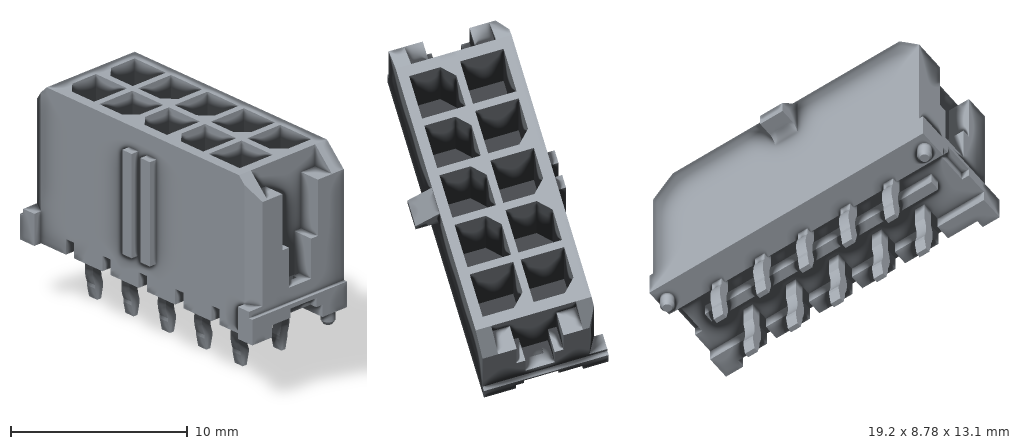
import cadquery as cq


half_length = 9.3
front_y = -3.45
back_y = 3.39
height = 9.92
ledge_z = 2.01
top_chamfer = 1.38
corner_chamfer_x = 0.92
corner_chamfer_y = 0.54
shoulder_z = height - top_chamfer

half_flange_length = 9.58
flange_height = 1.6
foot_projection = 0.52
foot_y = front_y - foot_projection
foot_inner_x = half_length - corner_chamfer_x

slot_inner_x = half_length - top_chamfer
shoulder_width = 0.92
upper_slot_width = 2.75
upper_slot_z = 5.02
lower_slot_width = 1.72
lower_slot_z = 2.5
relief_depth = 0.21
relief_length = 0.38
relief_tab_length = 0.3
relief_tab_width = 0.8

pitch = 3.0
columns = 5
cavity_size = 2.57
cavity_chamfer = 0.73
cavity_floor_z = ledge_z
back_row_keys = (-1, 1, 1, 1, 1)
front_row_keys = (-1, 1, -1, -1, 0)

recess_front_y = -2.45
recess_back_y = 1.5
recess_height = 0.77
center_strip_width = 0.65
notch_height = 0.98
end_pocket_width = 2.03
end_pocket_depth = 0.48
end_pocket_z = 1.35

pin_width = 0.67
pin_thickness = 0.63
pin_tip_thickness = 0.3
pin_root_z = 1.35
bend_start_z = -0.54
bend_end_z = -2.2
taper_z = -2.43
pin_tip_z = -3.18
bend_offset = 0.163

peg_x = 9.0
peg_y = 2.45
peg_radius = 0.42
peg_length = 0.88
peg_chamfer_height = 0.23
peg_chamfer_width = 0.15

rib_width = 0.77
rib_x = 0.75
hook_width = 1.57
hook_projection = 1.42
hook_bottom_z = 7.45
hook_nose_z = 8.22
hook_root_radius = 0.5


def box(x0, x1, y0, y1, z0, z1):
    """Box between opposite corners."""
    return cq.Workplane("XY").box(x1 - x0, y1 - y0, z1 - z0, centered=False).translate((x0, y0, z0))


def both_ends(shape):
    """Shape together with its mirror image at the other end of the housing."""
    return shape.union(shape.mirror("YZ"))


def centered_on_row_middle(x0, x1, width, z0, z1):
    """Box of the given Y width, centred between the pin rows."""
    return box(x0, x1, -width / 2, width / 2, z0, z1)


def housing_body():
    body = box(-half_length, half_length, front_y, back_y, 0, height)
    body = body.faces(">Z").edges("|Y").chamfer(top_chamfer)
    corner = (
        cq.Workplane("XY", origin=(0, 0, ledge_z))
        .moveTo(half_length, front_y)
        .lineTo(half_length, front_y + corner_chamfer_y)
        .lineTo(foot_inner_x, front_y)
        .close()
        .extrude(height)
    )
    return body.cut(both_ends(corner))


def end_flange():
    flange = box(half_length, half_flange_length, foot_y, back_y, 0, flange_height)
    foot = box(foot_inner_x, half_length, foot_y, front_y, 0, ledge_z)
    return both_ends(flange.union(foot))


def end_slot():
    mouth = box(
        slot_inner_x, half_length, front_y + shoulder_width, back_y - shoulder_width, shoulder_z, height
    )
    upper = centered_on_row_middle(slot_inner_x, half_length, upper_slot_width, upper_slot_z, height)
    lower = centered_on_row_middle(slot_inner_x, half_length, lower_slot_width, lower_slot_z, height)
    relief_x = slot_inner_x + relief_length
    relief_z = lower_slot_z - relief_depth
    relief = centered_on_row_middle(slot_inner_x, relief_x, lower_slot_width, relief_z, lower_slot_z)
    tab = centered_on_row_middle(
        slot_inner_x, relief_x + relief_tab_length, relief_tab_width, relief_z, lower_slot_z
    )
    return both_ends(mouth.union(upper).union(lower).union(relief).union(tab))


def column_x(column):
    return (column - (columns - 1) / 2) * pitch


def cavity(x, y, key):
    """Contact cavity, with one front corner cut off when it is keyed."""
    half = cavity_size / 2
    shape = box(x - half, x + half, y - half, y + half, cavity_floor_z, height)
    if key:
        side = ">X" if key > 0 else "<X"
        shape = shape.faces("<Y").edges(side).chamfer(cavity_chamfer)
    return shape


def underside_recess():
    recess = box(
        -half_flange_length, half_flange_length, recess_front_y, recess_back_y, 0, recess_height
    )
    strip = centered_on_row_middle(-slot_inner_x, slot_inner_x, center_strip_width, 0, recess_height)
    pocket = centered_on_row_middle(
        half_flange_length - end_pocket_depth, half_flange_length, end_pocket_width, 0, end_pocket_z
    )
    return recess.cut(strip).union(both_ends(pocket))


def front_notch(x):
    """Slot under the front wall, running back to the front pin."""
    return box(x - pin_width / 2, x + pin_width / 2, front_y, -pitch / 2, 0, notch_height)


def pin(x, row):
    """Solder tail in the front (-1) or back (1) row, bowed away from the other row."""
    half = pin_thickness / 2
    half_tip = pin_tip_thickness / 2
    bow = row * bend_offset
    bend_mid_z = (bend_start_z + bend_end_z) / 2
    profile = (
        cq.Workplane("YZ", origin=(x, row * pitch / 2, 0))
        .moveTo(-half, pin_root_z)
        .lineTo(-half, bend_start_z)
        .threePointArc((bow - half, bend_mid_z), (-half, bend_end_z))
        .lineTo(-half, taper_z)
        .lineTo(-half_tip, pin_tip_z)
        .lineTo(half_tip, pin_tip_z)
        .lineTo(half, taper_z)
        .lineTo(half, bend_end_z)
        .threePointArc((bow + half, bend_mid_z), (half, bend_start_z))
        .lineTo(half, pin_root_z)
        .close()
    )
    return profile.extrude(pin_width / 2, both=True)


def locating_pegs():
    peg = cq.Workplane("XY").center(peg_x, peg_y).circle(peg_radius).extrude(-peg_length)
    return both_ends(peg.faces("<Z").chamfer(peg_chamfer_height, peg_chamfer_width))


def polarising_ribs():
    return both_ends(
        box(rib_x - rib_width / 2, rib_x + rib_width / 2, foot_y, front_y, ledge_z, shoulder_z)
    )


def latch_hook():
    """Ramped hook on the back wall with a rounded root underneath."""
    nose_y = back_y + hook_projection
    return (
        cq.Workplane("YZ")
        .moveTo(back_y, hook_nose_z + hook_projection)
        .lineTo(nose_y, hook_nose_z)
        .lineTo(nose_y, hook_bottom_z)
        .lineTo(back_y + hook_root_radius, hook_bottom_z)
        .radiusArc((back_y, hook_bottom_z - hook_root_radius), -hook_root_radius)
        .close()
        .extrude(hook_width / 2, both=True)
    )


result = housing_body().union(end_flange()).cut(end_slot()).cut(underside_recess())

for column in range(columns):
    x = column_x(column)
    result = result.cut(cavity(x, pitch / 2, back_row_keys[column]))
    result = result.cut(cavity(x, -pitch / 2, front_row_keys[column]))
    result = result.cut(front_notch(x))

for column in range(columns):
    for row in (-1, 1):
        result = result.union(pin(column_x(column), row))

result = result.union(locating_pegs()).union(polarising_ribs()).union(latch_hook())